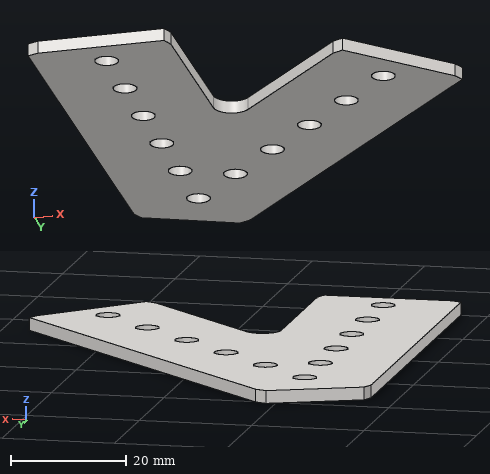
import cadquery as cq
import math

thickness = 2.3
arm_width = 25.3
hole_pitch = 12.7
holes_per_arm = 6
hole_diameter = 4.1
end_margin = 6.3
arm_angle = 45.0
crown_distance = 10.0
notch_radius = 3.3
cut_short = 0.7
cut_long = 2.0
crown_cut_edge = 0.9
crown_cut_side = 1.65

half_width = arm_width / 2
half_angle = math.radians(arm_angle / 2)
last_hole = (holes_per_arm - 1) * hole_pitch
arm_end = last_hole + end_margin

pivot_x = half_width
pivot_y = arm_end


def mirrored(point):
    """Reflect a point, relative to the shared hole, from the upright arm to the slanted arm."""
    x, y = point
    cosine = math.cos(2 * half_angle)
    sine = math.sin(2 * half_angle)
    return (-cosine * x - sine * y, -sine * x + cosine * y)


def upright_arm_outline():
    """Half of the outline, from the top edge round the upright arm to the notch."""
    corner_y = (crown_distance - half_width * math.sin(half_angle)) / math.cos(half_angle)
    crown_start = (
        -half_width + crown_cut_edge * math.cos(half_angle),
        corner_y + crown_cut_edge * math.sin(half_angle),
    )
    return [
        crown_start,
        (-half_width, corner_y - crown_cut_side),
        (-half_width, -arm_end + cut_short),
        (-half_width + cut_long, -arm_end),
        (half_width - cut_short, -arm_end),
        (half_width, -arm_end + cut_long),
    ]


def plate():
    upright = upright_arm_outline()
    slanted = [mirrored(point) for point in reversed(upright)]
    notch_corner = (half_width, -half_width / math.tan(half_angle))
    body = (
        cq.Workplane("XY")
        .polyline(upright + [notch_corner] + slanted)
        .close()
        .extrude(thickness)
    )
    notch_edge = cq.selectors.NearestToPointSelector((*notch_corner, thickness / 2))
    return body.edges("|Z").edges(notch_edge).fillet(notch_radius)


def hole_centres():
    upright = [(0, -i * hole_pitch) for i in range(holes_per_arm)]
    slanted = [mirrored(point) for point in upright[1:]]
    return upright + slanted


holes = cq.Workplane("XY").pushPoints(hole_centres()).circle(hole_diameter / 2).extrude(thickness)
result = plate().cut(holes).translate((pivot_x, pivot_y, 0))